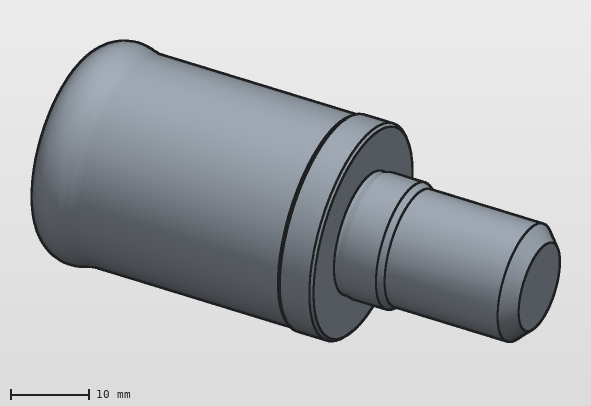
import cadquery as cq
import math

OVERALL_LENGTH = 66.8

BARREL_RADIUS = 28.5 / 2
RIM_TUBE_RADIUS = 4.8
RIM_OUTER_RADIUS = 14.85
RIM_CENTRE_RADIUS = RIM_OUTER_RADIUS - RIM_TUBE_RADIUS
DISH_RADIUS = 6.4
RIM_END_X = 6.55
BLEND_START_X = 6.95
BLEND_END_X = 8.15
BLEND_RISE = 0.2

COLLAR_RADIUS = 29.0 / 2
COLLAR_START_X = 37.1
COLLAR_END_X = 41.7
COLLAR_CHAMFER = 0.4
GROOVE_WIDTH = 0.4
GROOVE_DEPTH = 0.2
BARREL_END_X = COLLAR_START_X - GROOVE_WIDTH
NECK_RADIUS = 8.3
NECK_TAPER_START_X = 42.3
SEAT_RADIUS = 17.0 / 2
SEAT_START_X = 43.1
SEAT_END_X = 47.8
SHANK_RADIUS = 15.8 / 2
SHANK_START_X = 48.7
TIP_CHAMFER = 2.0


def chord_offset(radius, distance):
    """Height of a circle of this radius at a distance from its centre."""
    return math.sqrt(radius**2 - distance**2)


def revolve_about_x(profile):
    return profile.close().revolve(360, (0, 0, 0), (1, 0, 0))


def make_barrel():
    dish_x = RIM_TUBE_RADIUS - chord_offset(RIM_TUBE_RADIUS, RIM_CENTRE_RADIUS - DISH_RADIUS)
    rim_end_radius = RIM_CENTRE_RADIUS + chord_offset(RIM_TUBE_RADIUS, RIM_END_X - RIM_TUBE_RADIUS)

    blend_run = BLEND_END_X - BLEND_START_X
    blend_radius = (blend_run**2 + BLEND_RISE**2) / (2 * BLEND_RISE)
    blend_mid_x = BLEND_END_X - blend_run / 2
    blend_mid_rise = blend_radius - chord_offset(blend_radius, blend_run / 2)

    profile = (
        cq.Workplane("XY")
        .moveTo(BARREL_END_X, 0)
        .lineTo(dish_x, 0)
        .lineTo(dish_x, DISH_RADIUS)
        .threePointArc((0, RIM_CENTRE_RADIUS), (RIM_END_X, rim_end_radius))
        .lineTo(BLEND_START_X, BARREL_RADIUS + BLEND_RISE)
        .threePointArc((blend_mid_x, BARREL_RADIUS + blend_mid_rise), (BLEND_END_X, BARREL_RADIUS))
        .lineTo(BARREL_END_X, BARREL_RADIUS)
    )
    return revolve_about_x(profile)


def make_stud():
    profile = (
        cq.Workplane("XY")
        .moveTo(BARREL_END_X, 0)
        .lineTo(BARREL_END_X, BARREL_RADIUS - GROOVE_DEPTH)
        .lineTo(COLLAR_START_X, BARREL_RADIUS - GROOVE_DEPTH)
        .lineTo(COLLAR_START_X, COLLAR_RADIUS)
        .lineTo(COLLAR_END_X - COLLAR_CHAMFER, COLLAR_RADIUS)
        .lineTo(COLLAR_END_X, COLLAR_RADIUS - COLLAR_CHAMFER)
        .lineTo(COLLAR_END_X, NECK_RADIUS)
        .lineTo(NECK_TAPER_START_X, NECK_RADIUS)
        .lineTo(SEAT_START_X, SEAT_RADIUS)
        .lineTo(SEAT_END_X, SEAT_RADIUS)
        .lineTo(SHANK_START_X, SHANK_RADIUS)
        .lineTo(OVERALL_LENGTH - TIP_CHAMFER, SHANK_RADIUS)
        .lineTo(OVERALL_LENGTH, SHANK_RADIUS - TIP_CHAMFER)
        .lineTo(OVERALL_LENGTH, 0)
    )
    return revolve_about_x(profile)


barrel = make_barrel()
stud = make_stud()
result = cq.Compound.makeCompound([barrel.val(), stud.val()])